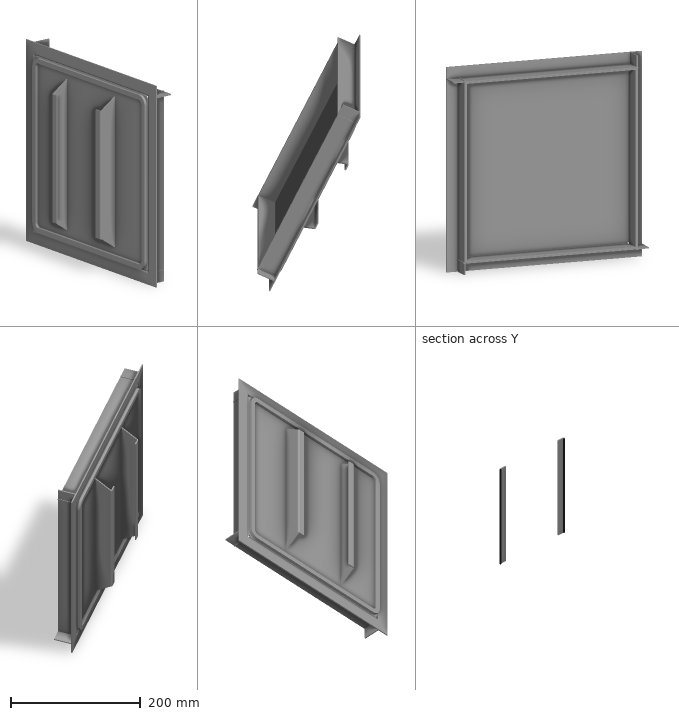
import cadquery as cq

frame_size = 323.8
sheet = 2.0
angle_flange = 20.0
angle_depth = 30.0
angle_start = 17.0
half_frame = frame_size / 2
front_y = 0.0
back_y = front_y + angle_depth
web_inner = half_frame - angle_flange
web_outer = web_inner + sheet

pan_clearance = 0.3
pan_bend = 3.0
pan_relief = 3.5
half_pan = web_inner - pan_clearance

gasket_outer = 279.8
gasket_width = 7.8
gasket_thickness = 5.0
gasket_corner = 14.5

handle_reach = 28.8
handle_base = 243.0
handle_tip = 206.0
handle_outer_x = 61.0
lip_width = 12.0
handle_bend = 2.5


def box(x_range, y_range, z_range):
    """Box given by its lower and upper limit along each axis."""
    sizes = [high - low for low, high in (x_range, y_range, z_range)]
    corner = cq.Vector(x_range[0], y_range[0], z_range[0])
    return cq.Workplane(obj=cq.Solid.makeBox(*sizes, pnt=corner))


def angle_profile(start_x):
    """Top angle of the frame with a rounded bend, from start_x to the right side of the frame."""
    return (
        cq.Workplane("YZ", origin=(start_x, 0, 0))
        .moveTo(front_y, half_frame)
        .lineTo(front_y, web_inner + sheet)
        .radiusArc((front_y + sheet, web_inner), -sheet)
        .lineTo(back_y, web_inner)
        .lineTo(back_y, web_outer)
        .lineTo(front_y + sheet, web_outer)
        .lineTo(front_y + sheet, half_frame)
        .close()
        .extrude(half_frame - start_x)
    )


def quarter_turn(body, turns):
    """Body turned about the Y axis through the middle of the frame by a number of quarter turns."""
    return body.rotate((0, 0, 0), (0, 1, 0), 90 * turns)


def frame_angle():
    """Angle whose flange is coped around one neighbour and whose web has a slot for the other."""
    start_x = angle_start - half_frame
    angle = angle_profile(start_x)
    neighbour = angle_profile(-half_frame)

    corner_front = box((-half_frame, 0), (front_y, front_y + sheet), (-half_frame, half_frame))
    left_front = quarter_turn(neighbour, -1).intersect(corner_front)

    web_slot = box((web_inner, web_outer), (front_y + sheet, back_y), (web_inner, web_outer))
    return angle.cut(left_front).cut(web_slot)


def pan():
    """Square sheet pan, open at the back."""
    relief_spacing = 2 * half_pan - pan_relief
    shell = box((-half_pan, half_pan), (front_y, back_y), (-half_pan, half_pan))
    shell = shell.faces("<Y").edges().fillet(pan_bend)
    cavity = half_pan - sheet
    inside = box((-cavity, cavity), (front_y + sheet, back_y), (-cavity, cavity))
    inside = inside.faces("<Y").edges().fillet(pan_bend - sheet)
    reliefs = (
        cq.Workplane("XZ", origin=(0, front_y + pan_bend, 0))
        .rect(relief_spacing, relief_spacing, forConstruction=True)
        .vertices()
        .rect(pan_relief, pan_relief)
        .extrude(pan_bend)
    )
    return shell.cut(inside).cut(reliefs)


def rounded_square(size, corner):
    """Block as thick as the gasket, in front of the pan, with rounded corners."""
    block = cq.Workplane("XZ", origin=(0, front_y, 0)).rect(size, size).extrude(gasket_thickness)
    return block.edges("|Y").fillet(corner)


def gasket():
    """Rounded square ring of constant width."""
    opening = rounded_square(gasket_outer - 2 * gasket_width, gasket_corner - gasket_width)
    return rounded_square(gasket_outer, gasket_corner).cut(opening)


def left_handle():
    """Left handle: L section with a rounded bend, its ends sloping from the pan to the lip."""
    lip_y = front_y - handle_reach
    section = (
        cq.Workplane("XY", origin=(0, 0, -handle_base / 2))
        .moveTo(-handle_outer_x, front_y)
        .lineTo(-handle_outer_x, lip_y + handle_bend)
        .radiusArc((-handle_outer_x + handle_bend, lip_y), -handle_bend)
        .lineTo(-handle_outer_x + lip_width, lip_y)
        .lineTo(-handle_outer_x + lip_width, lip_y + sheet)
        .lineTo(-handle_outer_x + handle_bend, lip_y + sheet)
        .radiusArc((-handle_outer_x + sheet, lip_y + handle_bend), handle_bend - sheet)
        .lineTo(-handle_outer_x + sheet, front_y)
        .close()
        .extrude(handle_base)
    )
    side_outline = (
        cq.Workplane("YZ", origin=(-handle_outer_x, 0, 0))
        .moveTo(front_y, -handle_base / 2)
        .lineTo(front_y, handle_base / 2)
        .lineTo(lip_y + sheet, handle_tip / 2)
        .lineTo(lip_y, handle_tip / 2)
        .lineTo(lip_y, -handle_tip / 2)
        .lineTo(lip_y + sheet, -handle_tip / 2)
        .close()
        .extrude(lip_width)
    )
    return section.intersect(side_outline)


angles = [quarter_turn(frame_angle(), turns) for turns in range(4)]
handles = [left_handle(), left_handle().mirror("YZ")]

result = cq.Compound.makeCompound(
    [angle.val() for angle in angles] + [pan().val(), gasket().val()] + [handle.val() for handle in handles]
)